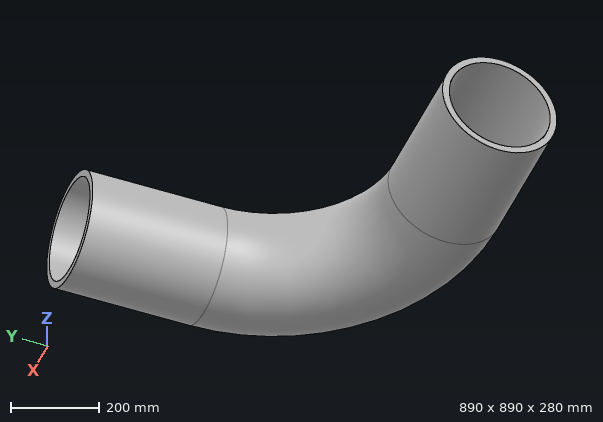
import cadquery as cq

overall_length = 890.0
outer_diameter = 280.0
inner_diameter = 246.5
straight_length = 330.0

bend_radius = overall_length - straight_length - outer_diameter / 2


def elbow_rod(diameter):
    """Solid rod: a straight leg along +X, a quarter bend, a straight leg along +Y."""
    profile = cq.Workplane("YZ").circle(diameter / 2)
    inlet_leg = profile.extrude(straight_length)
    bend = (
        cq.Workplane("YZ", origin=(straight_length, 0, 0))
        .circle(diameter / 2)
        .revolve(90, (bend_radius, 0), (bend_radius, 1))
    )
    outlet_leg = (
        cq.Workplane("XZ", origin=(straight_length + bend_radius, bend_radius, 0))
        .circle(diameter / 2)
        .extrude(-straight_length)
    )
    return inlet_leg.union(bend).union(outlet_leg)


result = elbow_rod(outer_diameter).cut(elbow_rod(inner_diameter))